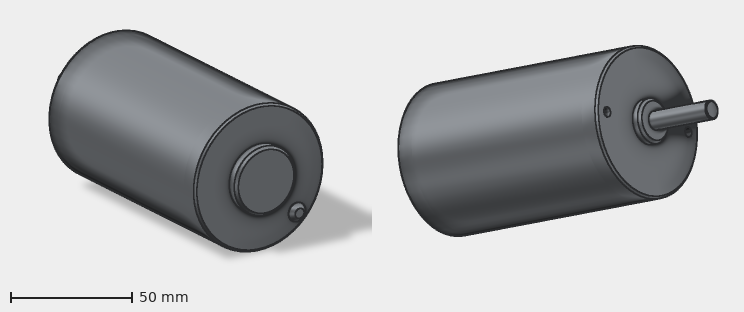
import cadquery as cq
import math

body_radius = 32.005
body_length = 109.8
cap_length = 8.25
cap_chamfer = 1.0

shaft_radius = 4.0
shaft_reach = 35.4
shaft_chamfer = 0.5

front_boss_radius = 9.525
front_boss_length = 4.0
front_boss_chamfer = 1.25
rear_boss_radius = 15.0
rear_boss_length = 5.0
rear_boss_chamfer = 1.25

hole_radius = 2.1
hole_depth = 8.0
hole_offset = 25.4
drill_point_angle = 118.0

screw_radius = 4.2
screw_rim_height = 0.3
screw_flat_radius = 2.2
screw_height = 2.1
screw_circle_radius = 26.2
screw_angle = math.radians(-45.0)

shaft_tip = -shaft_reach
front_boss_face = -front_boss_length
rear_boss_face = body_length + rear_boss_length


def revolve_about_x(profile):
    """Turn a closed (x, radius) profile a full revolution about the X axis."""
    return profile.revolve(360, (0, 0, 0), (1, 0, 0), clean=False)


def make_body():
    """Shaft, bosses, caps and can in one turned piece; the cap joints stay as edges."""
    outline = [
        (shaft_tip, 0),
        (shaft_tip, shaft_radius - shaft_chamfer),
        (shaft_tip + shaft_chamfer, shaft_radius),
        (front_boss_face, shaft_radius),
        (front_boss_face, front_boss_radius - front_boss_chamfer),
        (front_boss_face + front_boss_chamfer, front_boss_radius),
        (0, front_boss_radius),
        (0, body_radius - cap_chamfer),
        (cap_chamfer, body_radius),
        (cap_length, body_radius),
        (body_length - cap_length, body_radius),
        (body_length - cap_chamfer, body_radius),
        (body_length, body_radius - cap_chamfer),
        (body_length, rear_boss_radius),
        (rear_boss_face - rear_boss_chamfer, rear_boss_radius),
        (rear_boss_face, rear_boss_radius - rear_boss_chamfer),
        (rear_boss_face, 0),
    ]
    return revolve_about_x(cq.Workplane("XY").polyline(outline).close())


def make_mounting_hole():
    """Drilled hole on the X axis, opening at X = 0."""
    point_depth = hole_radius / math.tan(math.radians(drill_point_angle / 2))
    profile = (
        cq.Workplane("XY")
        .lineTo(0, hole_radius)
        .lineTo(hole_depth, hole_radius)
        .lineTo(hole_depth + point_depth, 0)
        .close()
    )
    return revolve_about_x(profile)


def make_screw_head():
    """Domed head placed on the rear face."""
    radius_term = screw_radius**2 - screw_flat_radius**2
    dome_height = screw_height - screw_rim_height
    sphere_x = (screw_height + screw_rim_height - radius_term / dome_height) / 2
    sphere_radius = math.hypot(screw_radius, screw_rim_height - sphere_x)
    middle_radius = (screw_radius + screw_flat_radius) / 2
    middle_x = sphere_x + math.sqrt(sphere_radius**2 - middle_radius**2)
    profile = (
        cq.Workplane("XY")
        .lineTo(0, screw_radius)
        .lineTo(screw_rim_height, screw_radius)
        .threePointArc((middle_x, middle_radius), (screw_height, screw_flat_radius))
        .lineTo(screw_height, 0)
        .close()
    )
    center_y = screw_circle_radius * math.cos(screw_angle)
    center_z = screw_circle_radius * math.sin(screw_angle)
    return revolve_about_x(profile).translate((body_length, center_y, center_z))


result = make_body()
for side in (-1, 1):
    result = result.cut(make_mounting_hole().translate((0, side * hole_offset, 0)), clean=False)
result = result.union(make_screw_head(), clean=False)